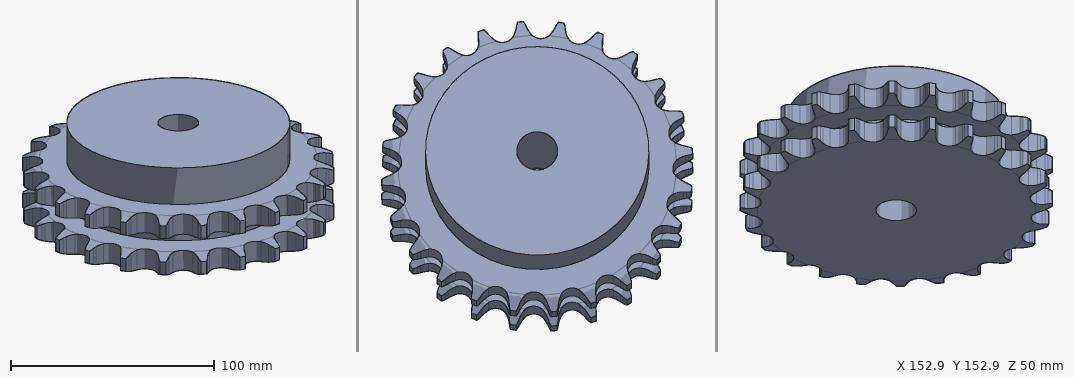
import cadquery as cq
import math


PITCH = 19.05
ROLLER_DIAMETER = 12.07
STRAND_SPACING = 19.5

TOOTH_COUNT = 24
STRAND_COUNT = 2
TOOTH_WIDTH = 10.8
TIP_DIAMETER = 153.9

SEAT_ALLOWANCE = 0.0381
SEAT_RADIUS = 0.5025 * ROLLER_DIAMETER + SEAT_ALLOWANCE
WORKING_OFFSET = 0.8 * ROLLER_DIAMETER
WORKING_RADIUS = SEAT_RADIUS + WORKING_OFFSET
TOPPING_OFFSET = 1.4 * ROLLER_DIAMETER
SEAT_END_ANGLE = math.radians(35 + 60 / TOOTH_COUNT)
WORKING_SWEEP = math.radians(18 - 56 / TOOTH_COUNT)
TOPPING_ANGLE = math.radians(17 - 64 / TOOTH_COUNT)
STRAIGHT_LENGTH = (
    TOPPING_OFFSET * math.sin(TOPPING_ANGLE) - WORKING_OFFSET * math.sin(WORKING_SWEEP)
)
TOPPING_RADIUS = (
    WORKING_OFFSET * math.cos(WORKING_SWEEP)
    + TOPPING_OFFSET * math.cos(TOPPING_ANGLE)
    - WORKING_RADIUS
)

RELIEF_START_RADIUS = 68.5
RELIEF_RADIUS = PITCH

HUB_DIAMETER = 110.0
BORE_DIAMETER = 20.0
TOTAL_HEIGHT = 50.0

TIP_RADIUS = TIP_DIAMETER / 2
PITCH_RADIUS = PITCH / (2 * math.sin(math.pi / TOOTH_COUNT))
CUT_CLEARANCE = 0.5


def relief_drop(reach):
    """Axial loss of a tooth side at a radial distance beyond the start of the rounding."""
    return RELIEF_RADIUS - math.sqrt(RELIEF_RADIUS**2 - reach**2)


def disc_blank():
    """Toothless disc whose rim narrows towards the tip along a tangent arc on both sides."""
    reach = TIP_RADIUS - RELIEF_START_RADIUS
    mid_reach = reach / 2
    tip_drop = relief_drop(reach)
    mid_drop = relief_drop(mid_reach)
    mid_radius = RELIEF_START_RADIUS + mid_reach
    return (
        cq.Workplane("XZ")
        .lineTo(RELIEF_START_RADIUS, 0)
        .threePointArc((mid_radius, mid_drop), (TIP_RADIUS, tip_drop))
        .lineTo(TIP_RADIUS, TOOTH_WIDTH - tip_drop)
        .threePointArc((mid_radius, TOOTH_WIDTH - mid_drop), (RELIEF_START_RADIUS, TOOTH_WIDTH))
        .lineTo(0, TOOTH_WIDTH)
        .close()
        .revolve(360, (0, 0, 0), (0, 1, 0))
    )


def arc_point(center, radius, angle):
    """Point on an arc; the angle is measured from +Y towards -X."""
    return center[0] - radius * math.sin(angle), center[1] + radius * math.cos(angle)


def mirrored(point):
    """Point reflected across the X axis."""
    return point[0], -point[1]


def gap_cutter():
    """Prism of one tooth gap on the +X axis, open past the tooth tips."""
    seat_center = (PITCH_RADIUS, 0)
    seat_end = arc_point(seat_center, SEAT_RADIUS, SEAT_END_ANGLE)

    working_center = arc_point(seat_end, -WORKING_RADIUS, SEAT_END_ANGLE)
    working_mid = arc_point(working_center, WORKING_RADIUS, SEAT_END_ANGLE - WORKING_SWEEP / 2)
    straight_angle = SEAT_END_ANGLE - WORKING_SWEEP
    working_end = arc_point(working_center, WORKING_RADIUS, straight_angle)
    straight_end = (
        working_end[0] + STRAIGHT_LENGTH * math.cos(straight_angle),
        working_end[1] + STRAIGHT_LENGTH * math.sin(straight_angle),
    )
    topping_center = arc_point(straight_end, TOPPING_RADIUS, straight_angle)

    def topping_point(x):
        offset = x - topping_center[0]
        return x, topping_center[1] - math.sqrt(TOPPING_RADIUS**2 - offset**2)

    outer_x = TIP_RADIUS + CUT_CLEARANCE
    topping_mid = topping_point((straight_end[0] + outer_x) / 2)
    topping_end = topping_point(outer_x)
    return (
        cq.Workplane("XY")
        .moveTo(*mirrored(seat_end))
        .threePointArc((PITCH_RADIUS - SEAT_RADIUS, 0), seat_end)
        .threePointArc(working_mid, working_end)
        .lineTo(*straight_end)
        .threePointArc(topping_mid, topping_end)
        .lineTo(*mirrored(topping_end))
        .threePointArc(mirrored(topping_mid), mirrored(straight_end))
        .lineTo(*mirrored(working_end))
        .threePointArc(mirrored(working_mid), mirrored(seat_end))
        .close()
        .extrude(TOOTH_WIDTH)
    )


def toothed_disc():
    """One sprocket row with a tooth gap centred on the +X axis."""
    disc = disc_blank()
    gap = gap_cutter()
    for index in range(TOOTH_COUNT):
        disc = disc.cut(gap.rotate((0, 0, 0), (0, 0, 1), index * 360 / TOOTH_COUNT))
    return disc


def sprocket():
    """Hub carrying all tooth rows, bored through along its axis."""
    row = toothed_disc()
    body = cq.Workplane("XY").circle(HUB_DIAMETER / 2).extrude(TOTAL_HEIGHT)
    for strand in range(STRAND_COUNT):
        body = body.union(row.translate((0, 0, strand * STRAND_SPACING)))
    bore = cq.Workplane("XY").circle(BORE_DIAMETER / 2).extrude(TOTAL_HEIGHT)
    return body.cut(bore)


result = sprocket()